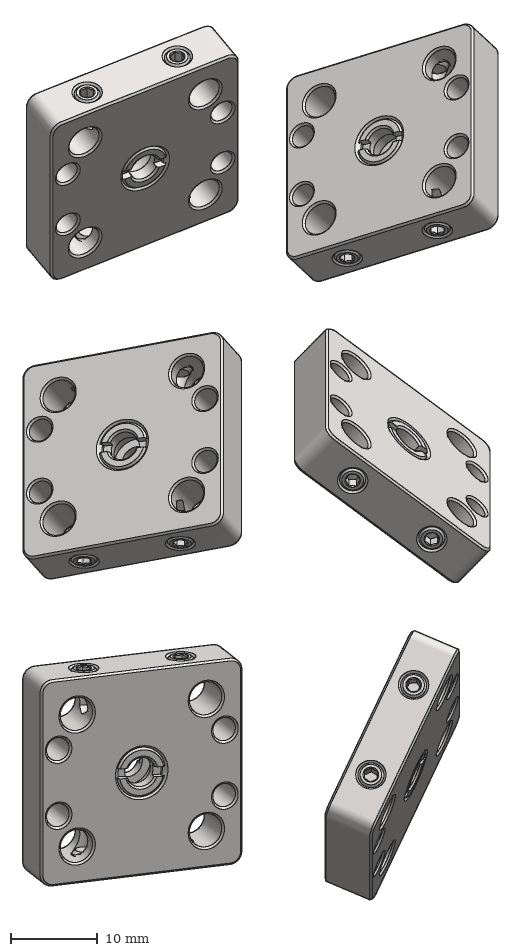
import cadquery as cq
import math

plate_side = 25.0
plate_thickness = 6.0
corner_radius = 1.5
edge_chamfer = 0.25
hole_chamfer = 0.25
thread_mouth_chamfer = 0.5

rod_hole_diameter = 4.0
rod_hole_offset = 8.0
small_hole_diameter = 2.8
small_hole_offset_y = 10.3
small_hole_offset_z = 4.0

bore_diameter = 5.5
ring_diameter = 6.0
ring_thickness = 1.75
ring_bore_diameter = 3.5
ring_chamfer = 0.25
ring_slot_width = 1.2
ring_slot_depth = 0.9
ring_slot_tilt = 3.5

set_screw_diameter = 3.0
set_screw_offset = 6.0
set_screw_length = 3.0
set_screw_head_chamfer = 0.25
set_screw_tip_chamfer = 0.5
set_screw_hole_diameter = 2.5
set_screw_hole_depth = 4.9
drill_point_angle = 118.0
socket_across_flats = 1.5
socket_depth = 1.5
socket_mouth_diameter = 1.8
plus_y_screw_turn = 50.0
minus_y_screw_turn = 30.0

half_side = plate_side / 2
half_thickness = plate_thickness / 2


def chamfered_hole_cutter(diameter, chamfer):
    """Through-hole cutter along X, centred on the origin, widened by the chamfer at both plate faces."""
    radius = diameter / 2
    outline = [
        (-half_thickness, 0),
        (-half_thickness, radius + chamfer),
        (-half_thickness + chamfer, radius),
        (half_thickness - chamfer, radius),
        (half_thickness, radius + chamfer),
        (half_thickness, 0),
    ]
    return cq.Workplane("XY").polyline(outline).close().revolve(360, (0, 0, 0), (1, 0, 0))


def set_screw_hole_cutter():
    """Drilled blind hole along Z that opens at the top edge of the plate with a chamfered mouth."""
    radius = set_screw_hole_diameter / 2
    drill_point_depth = radius / math.tan(math.radians(drill_point_angle / 2))
    outline = [
        (0, half_side),
        (radius + thread_mouth_chamfer, half_side),
        (radius, half_side - thread_mouth_chamfer),
        (radius, half_side - set_screw_hole_depth),
        (0, half_side - set_screw_hole_depth - drill_point_depth),
    ]
    return cq.Workplane("XZ").polyline(outline).close().revolve(360, (0, 0, 0), (0, 1, 0))


def at_set_screws(shape):
    """Copies of a shape made for the top edge, placed at both top and both bottom set screws."""
    bottom_shape = shape.rotate((0, 0, 0), (1, 0, 0), 180)
    copies = []
    for y, turn in ((-set_screw_offset, minus_y_screw_turn), (set_screw_offset, plus_y_screw_turn)):
        for edge_shape in (shape, bottom_shape):
            copies.append(edge_shape.rotate((0, 0, 0), (0, 0, 1), turn).translate((0, y, 0)))
    return copies


def make_plate(threaded_parts):
    """Plate with all its holes; each threaded part cuts its own matching seat."""
    plate = (
        cq.Workplane("XY")
        .box(plate_thickness, plate_side, plate_side)
        .edges("|X")
        .fillet(corner_radius)
        .faces("<X or >X")
        .chamfer(edge_chamfer)
    )
    rod_hole = chamfered_hole_cutter(rod_hole_diameter, hole_chamfer)
    small_hole = chamfered_hole_cutter(small_hole_diameter, hole_chamfer)
    for y_side in (-1, 1):
        for z_side in (-1, 1):
            rod_hole_place = (0, y_side * rod_hole_offset, z_side * rod_hole_offset)
            small_hole_place = (0, y_side * small_hole_offset_y, z_side * small_hole_offset_z)
            plate = plate.cut(rod_hole.translate(rod_hole_place))
            plate = plate.cut(small_hole.translate(small_hole_place))
    plate = plate.cut(chamfered_hole_cutter(bore_diameter, thread_mouth_chamfer))
    for hole in at_set_screws(set_screw_hole_cutter()):
        plate = plate.cut(hole)
    for part in threaded_parts:
        plate = plate.cut(part)
    return plate


def make_retaining_ring():
    """Ring flush with the -X face, with a driver slot across its outer end."""
    ring = (
        cq.Workplane("YZ", origin=(-half_thickness, 0, 0))
        .circle(ring_diameter / 2)
        .circle(ring_bore_diameter / 2)
        .extrude(ring_thickness)
        .faces("<X")
        .chamfer(ring_chamfer)
    )
    slot = (
        cq.Workplane("YZ", origin=(-half_thickness, 0, 0))
        .rect(ring_diameter, ring_slot_width)
        .extrude(ring_slot_depth)
        .rotate((0, 0, 0), (1, 0, 0), ring_slot_tilt)
    )
    return ring.cut(slot)


def make_set_screw():
    """Set screw for the top edge, with chamfered ends and a hexagon socket."""
    socket_across_corners = socket_across_flats / math.cos(math.pi / 6)
    screw = (
        cq.Workplane("XY", origin=(0, 0, half_side))
        .circle(set_screw_diameter / 2)
        .extrude(-set_screw_length)
        .faces(">Z")
        .chamfer(set_screw_head_chamfer)
        .faces("<Z")
        .chamfer(set_screw_tip_chamfer)
    )
    socket = (
        cq.Workplane("XY", origin=(0, 0, half_side))
        .polygon(6, socket_across_corners)
        .extrude(-socket_depth)
    )
    mouth_radius = socket_mouth_diameter / 2
    mouth = (
        cq.Workplane("XZ")
        .polyline([(0, half_side), (mouth_radius, half_side), (0, half_side - mouth_radius)])
        .close()
        .revolve(360, (0, 0, 0), (0, 1, 0))
    )
    return screw.cut(socket).cut(mouth)


near_ring = make_retaining_ring()
far_ring = near_ring.rotate((0, 0, 0), (0, 0, 1), 180)
set_screws = at_set_screws(make_set_screw())
plate = make_plate([near_ring, far_ring, *set_screws])

result = cq.Compound.makeCompound(
    [
        plate.solids().val(),
        near_ring.solids().val(),
        far_ring.solids().val(),
        *[screw.solids().val() for screw in set_screws],
    ]
)